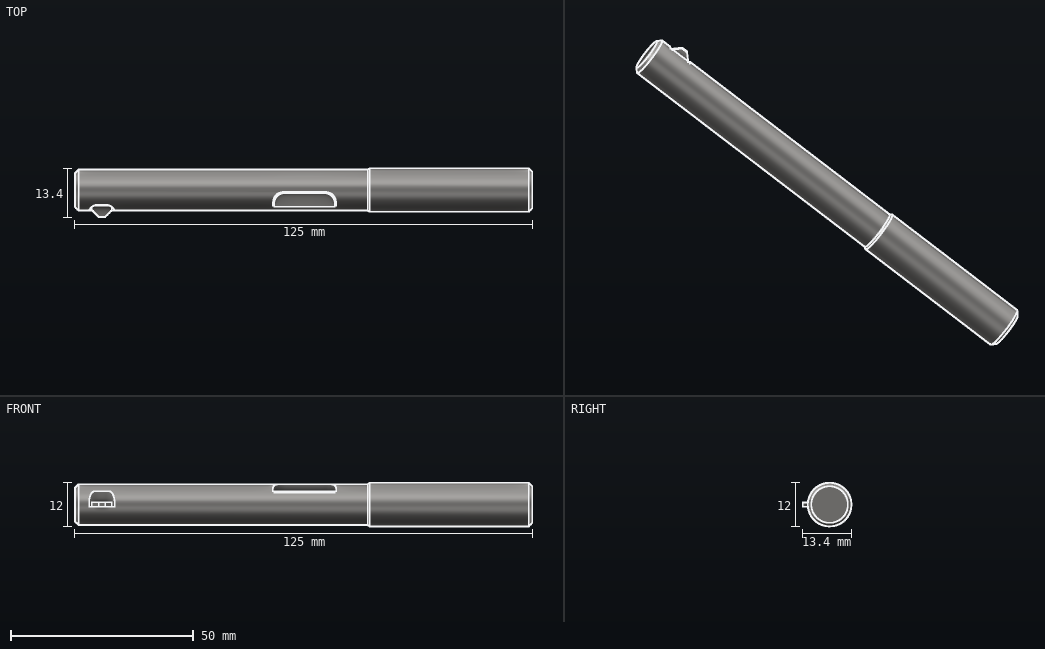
import cadquery as cq

total_length = 125.0
barrel_diameter = 11.2
cap_diameter = 12.0
cap_start = 80.0
end_chamfer = 1.0
cap_step_length = 0.6

window_center_x = 62.8
window_length = 17.2
window_back_y = -0.5
window_ledge_z = 3.6
window_ledge_width = 0.4
window_floor_z = 3.2
window_corner_radius = 3.0

recess_center_x = 7.4
recess_length = 7.5
recess_back_y = -4.0
recess_top_z = 3.6
recess_corner_radius = 2.8

tooth_thickness = 1.2
tooth_tip_y = -7.4
tooth_tip_width = 1.8
tooth_root_width = 5.5

barrel_radius = barrel_diameter / 2
cap_radius = cap_diameter / 2


def rounded_pocket(center_x, length, back_y, bottom_z, top_z, corner_radius):
    """Cutter open toward -Y, with two rounded vertical corners at its back."""
    front_y = -2 * cap_radius
    return (
        cq.Workplane("XY", origin=(center_x, 0, bottom_z))
        .center(0, (front_y + back_y) / 2)
        .rect(length, back_y - front_y)
        .extrude(top_z - bottom_z)
        .edges("|Z and >Y")
        .fillet(corner_radius)
    )


def make_body():
    """Revolved barrel and cap, with chamfered ends and a tapered step between them."""
    return (
        cq.Workplane("XY")
        .moveTo(0, 0)
        .lineTo(0, barrel_radius - end_chamfer)
        .lineTo(end_chamfer, barrel_radius)
        .lineTo(cap_start, barrel_radius)
        .lineTo(cap_start + cap_step_length, cap_radius)
        .lineTo(total_length - end_chamfer, cap_radius)
        .lineTo(total_length, cap_radius - end_chamfer)
        .lineTo(total_length, 0)
        .close()
        .revolve(360, (0, 0, 0), (1, 0, 0))
    )


def make_tooth():
    """Flat tooth with 45 degree flanks, rooted in the barrel behind the recess."""
    flank = (tooth_root_width - tooth_tip_width) / 2
    shoulder_y = tooth_tip_y + flank
    root_half = tooth_root_width / 2
    tip_half = tooth_tip_width / 2
    root_y = recess_back_y + recess_corner_radius
    return (
        cq.Workplane("XY", origin=(recess_center_x, 0, -tooth_thickness / 2))
        .moveTo(-root_half, root_y)
        .lineTo(-root_half, shoulder_y)
        .lineTo(-tip_half, tooth_tip_y)
        .lineTo(tip_half, tooth_tip_y)
        .lineTo(root_half, shoulder_y)
        .lineTo(root_half, root_y)
        .close()
        .extrude(tooth_thickness)
    )


window = rounded_pocket(
    window_center_x, window_length, window_back_y,
    window_ledge_z, cap_radius, window_corner_radius,
)
window_floor = rounded_pocket(
    window_center_x, window_length - 2 * window_ledge_width, window_back_y - window_ledge_width,
    window_floor_z, cap_radius, window_corner_radius - window_ledge_width,
)
recess = rounded_pocket(
    recess_center_x, recess_length, recess_back_y,
    -tooth_thickness / 2, recess_top_z, recess_corner_radius,
)

result = make_body().cut(window).cut(window_floor).cut(recess).union(make_tooth())